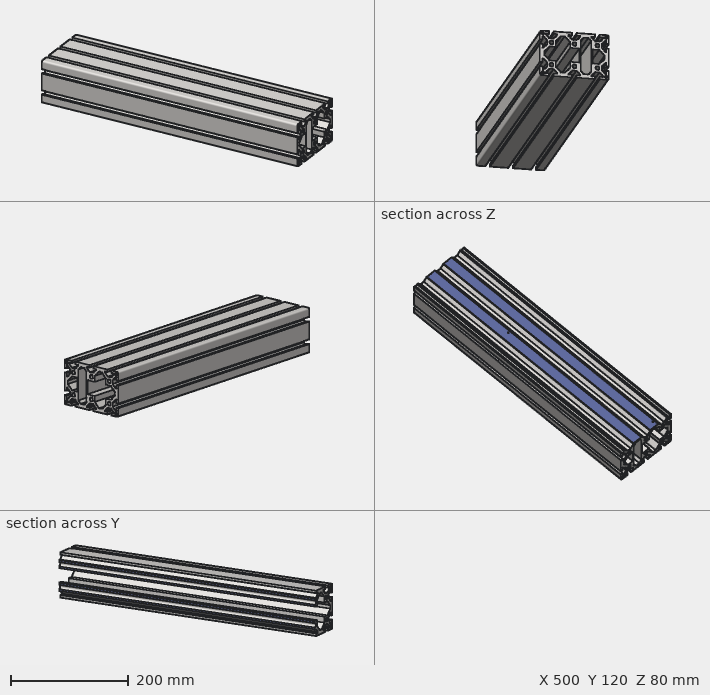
import cadquery as cq

LENGTH = 500.0
MODULE = 40.0
COLUMNS = 3
ROWS = 2
WIDTH = COLUMNS * MODULE
HEIGHT = ROWS * MODULE
CORNER_RADIUS = 3.5

SLOT_HALF_OPENING = 4.1
SLOT_HALF_WIDTH = 10.0
SLOT_HALF_FLOOR = 3.5
SLOT_DEPTH = 12.5
LIP_THICKNESS = 4.5

CORE_TO_EDGE = SLOT_DEPTH
CORE_HALF = MODULE / 2 - CORE_TO_EDGE
CORE_BORE_RADIUS = 3.4
WEB_OFFSET = 4.5
SKIN = 7.5

CORNER_BORE_RADIUS = 2.0
CORNER_BORE_INSET = 5.0

CHANNEL_CENTER_Y = -MODULE / 2
CHANNEL_WIDTH = 18.0
CHANNEL_HEIGHT = HEIGHT - 2 * SKIN
CHANNEL_CHAMFER = 5.0
CHANNEL_WALL = 2.5

core_ys = [(column - (COLUMNS - 1) / 2) * MODULE for column in range(COLUMNS)]
core_zs = [(row - (ROWS - 1) / 2) * MODULE for row in range(ROWS)]

TO_TOP = 0
TO_BOTTOM = 180
TO_PLUS_Y = -90
TO_MINUS_Y = 90


def end_plane():
    """End face of the extrusion; local x is +Y and local y is +Z."""
    return cq.Workplane("YZ").workplane(offset=-LENGTH / 2)


def mirrored_prism(half_profile, center, turn):
    """Full-length prism, symmetric about local x = center, turned about the X axis.

    half_profile lists (distance from the symmetry line, height) points.
    """
    left = [(center - offset, height) for offset, height in half_profile]
    right = [(center + offset, height) for offset, height in reversed(half_profile)]
    prism = end_plane().polyline(left + right).close().extrude(LENGTH)
    return prism.rotate((0, 0, 0), (1, 0, 0), turn)


def t_slot(center, face, turn):
    """T-slot with a 45 degree tapered floor, open at the given face height."""
    under_lip = face - LIP_THICKNESS
    floor = face - SLOT_DEPTH
    taper = SLOT_HALF_WIDTH - SLOT_HALF_FLOOR
    half_profile = [
        (SLOT_HALF_OPENING, face),
        (SLOT_HALF_OPENING, under_lip),
        (SLOT_HALF_WIDTH, under_lip),
        (SLOT_HALF_WIDTH, floor + taper),
        (SLOT_HALF_FLOOR, floor),
    ]
    return mirrored_prism(half_profile, center, turn)


def cavity(center, base, face, turn):
    """Space between two cores, from base up to the skin, tapered 45 degrees along the webs."""
    core_height = face - MODULE / 2
    top = face - SKIN
    shoulder = core_height + CORE_HALF - WEB_OFFSET
    top_half_width = CORE_TO_EDGE - (top - shoulder)
    half_profile = [
        (CORE_TO_EDGE, base),
        (CORE_TO_EDGE, shoulder),
        (top_half_width, top),
    ]
    return mirrored_prism(half_profile, center, turn)


def bores(centers, radius):
    return end_plane().pushPoints(centers).circle(radius).extrude(LENGTH)


profile = end_plane().rect(WIDTH, HEIGHT).extrude(LENGTH).edges("|X").fillet(CORNER_RADIUS)

for turn in (TO_TOP, TO_BOTTOM):
    for y in core_ys:
        profile = profile.cut(t_slot(y, HEIGHT / 2, turn))
for turn in (TO_PLUS_Y, TO_MINUS_Y):
    for z in core_zs:
        profile = profile.cut(t_slot(z, WIDTH / 2, turn))

channel_outer_half = CHANNEL_WIDTH / 2 + CHANNEL_WALL
profile = profile.cut(cavity(MODULE / 2, 0, HEIGHT / 2, TO_TOP))
profile = profile.cut(cavity(-MODULE / 2, 0, HEIGHT / 2, TO_BOTTOM))
profile = profile.cut(cavity(0, CHANNEL_CENTER_Y + channel_outer_half, WIDTH / 2, TO_PLUS_Y))

profile = profile.cut(cavity(0, channel_outer_half - CHANNEL_CENTER_Y, WIDTH / 2, TO_MINUS_Y))

channel = end_plane().center(CHANNEL_CENTER_Y, 0).rect(CHANNEL_WIDTH, CHANNEL_HEIGHT).extrude(LENGTH)
profile = profile.cut(channel.edges("|X").chamfer(CHANNEL_CHAMFER))

core_centers = [(y, z) for y in core_ys for z in core_zs]
profile = profile.cut(bores(core_centers, CORE_BORE_RADIUS))
corner_y = WIDTH / 2 - CORNER_BORE_INSET
corner_z = HEIGHT / 2 - CORNER_BORE_INSET
corner_centers = [(y, z) for y in (-corner_y, corner_y) for z in (-corner_z, corner_z)]
profile = profile.cut(bores(corner_centers, CORNER_BORE_RADIUS))

result = profile